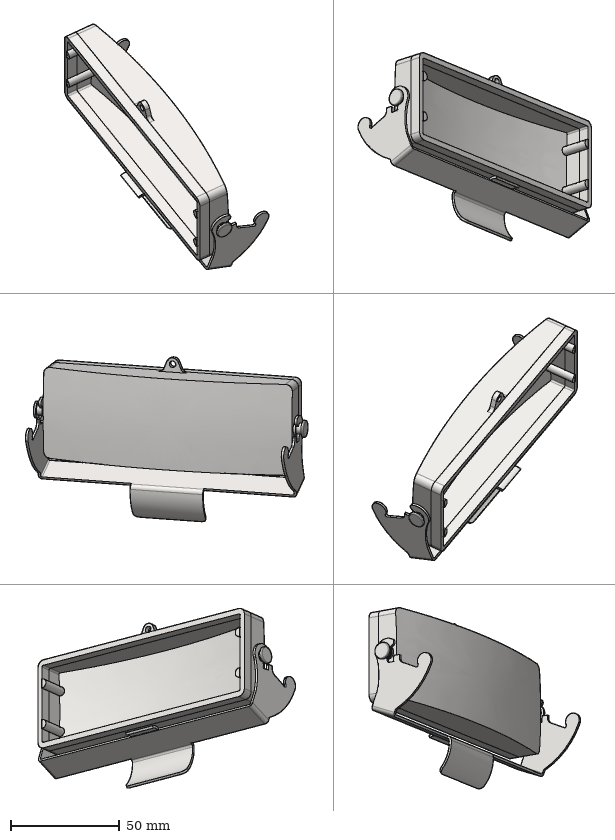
import cadquery as cq
import math


cover_width = 120.2
cover_height = 43.3
wall_x = 2.5
wall_z = 2.7
corner_radius = 3.3
inner_width = cover_width - 2 * wall_x
inner_height = cover_height - 2 * wall_z
inner_radius = corner_radius - wall_x
front_y = -10.5
frame_depth = 5.2
frame_back_y = front_y + frame_depth
dome_peak_y = 11.4
end_edge_y = 5.0
dome_rise = dome_peak_y - end_edge_y
dome_radius = ((cover_width / 2) ** 2 + dome_rise**2) / (2 * dome_rise)
dome_centre_y = dome_peak_y - dome_radius

post_radius = 2.2
post_inset = 0.3
post_spacing = 20.0
post_projection = 0.4

eye_hole_diameter = 3.0
eye_radius = 3.0
eye_centre_height = 3.8
eye_flank_angle = 22.5
eye_foot_radius = 2.6
eye_thickness = 2.5

pin_overall = 130.5
head_diameter = 8.0
head_thickness = 1.2
head_fillet = 0.4
shaft_diameter = 5.2
collar_diameter = 6.4

lever_width = 124.8
sheet = 1.2
bend_radius = 1.8
lever_tilt = 22.5
base_distance = 27.5
base_front = 3.0
base_rear = 16.3
handle_width = 35.1
handle_corner = 3.0
lip_width = 15.7
seat_radius = shaft_diameter / 2
seat_start_angle = 33
seat_end_angle = -75
slot_edge_y = 4.8
slot_floor_z = -5.5
nub_rear_y = 8.0
rear_neck = 2.3
handle_lead = 0.5


def rounded_block(width, height, radius, y_start, y_end):
    """Block along Y with its four long edges rounded."""
    block = cq.Workplane("XY").box(width, y_end - y_start, height)
    return block.edges("|Y").fillet(radius).translate((0, (y_start + y_end) / 2, 0))


def dome_ball(radius):
    """Ball with its poles on the Y axis, concentric with the domed back of the cover."""
    ball = cq.Workplane("XY").sphere(radius).rotate((0, 0, 0), (1, 0, 0), -90)
    return ball.translate((0, dome_centre_y, 0))


def seat_point(angle):
    """Point (Y, Z) on the round seat for the pin, at an angle in degrees from +Y."""
    a = math.radians(angle)
    return (seat_radius * math.cos(a), seat_radius * math.sin(a))


def lever_point(along, up):
    """Point (Y, Z) at a distance along the tilted base plate and above it, from the pin axis."""
    c = math.cos(math.radians(lever_tilt))
    s = math.sin(math.radians(lever_tilt))
    return (along * c + up * s, up * c - along * s)


def make_frame():
    outer = rounded_block(cover_width, cover_height, corner_radius, front_y, frame_back_y)
    opening = rounded_block(inner_width, inner_height, inner_radius, front_y, frame_back_y)
    return outer.cut(opening)


def make_posts():
    """Four posts from just in front of the frame to the dome, clipped flat by the end walls."""
    post_x = inner_width / 2 - post_inset
    places = [(sx * post_x, sz * post_spacing / 2) for sx in (-1, 1) for sz in (-1, 1)]
    post_front_y = front_y - post_projection
    posts = (
        cq.Workplane("XZ", origin=(0, post_front_y, 0))
        .pushPoints(places)
        .circle(post_radius)
        .extrude(post_front_y - dome_peak_y)
    )
    return posts.intersect(rounded_block(inner_width, inner_height, inner_radius, post_front_y, dome_peak_y))


def make_eye():
    """Rounded eye plate whose straight flanks flare into the top of the cover."""
    a = math.radians(eye_flank_angle)
    top = cover_height / 2
    centre_z = top + eye_centre_height
    upper_x = eye_radius * math.cos(a)
    upper_z = centre_z + eye_radius * math.sin(a)
    foot_z = top + eye_foot_radius * (1 - math.sin(a))
    lower_x = upper_x + (upper_z - foot_z) * math.tan(a)
    foot_centre_x = lower_x + eye_foot_radius * math.cos(a)
    half = math.radians(45 + eye_flank_angle / 2)
    mid_x = foot_centre_x - eye_foot_radius * math.cos(half)
    mid_z = top + eye_foot_radius * (1 - math.sin(half))
    sunk_z = top - wall_z / 2
    plate = (
        cq.Workplane("XZ", origin=(0, frame_back_y, 0))
        .moveTo(foot_centre_x, top)
        .threePointArc((mid_x, mid_z), (lower_x, foot_z))
        .lineTo(upper_x, upper_z)
        .threePointArc((0, centre_z + eye_radius), (-upper_x, upper_z))
        .lineTo(-lower_x, foot_z)
        .threePointArc((-mid_x, mid_z), (-foot_centre_x, top))
        .lineTo(-foot_centre_x, sunk_z)
        .lineTo(foot_centre_x, sunk_z)
        .close()
        .extrude(-eye_thickness)
    )
    hole = (
        cq.Workplane("XZ", origin=(0, frame_back_y, 0))
        .center(0, centre_z)
        .circle(eye_hole_diameter / 2)
        .extrude(-eye_thickness)
    )
    return plate.cut(hole)


def make_cover():
    outer = rounded_block(cover_width, cover_height, corner_radius, frame_back_y, dome_peak_y)
    outer = outer.intersect(dome_ball(dome_radius))
    cavity = rounded_block(inner_width, inner_height, inner_radius, frame_back_y, dome_peak_y)
    cavity = cavity.intersect(dome_ball(dome_radius - wall_x))
    posts = make_posts().intersect(dome_ball(dome_radius - wall_x / 2))
    return outer.cut(cavity).union(make_eye()).union(posts)


def make_pin(side):
    """Headed pin outside one end wall; side is -1 or 1 along X."""
    def round_length(diameter, start, end):
        return cq.Workplane("YZ", origin=(start, 0, 0)).circle(diameter / 2).extrude(end - start)

    lever_inside = lever_width / 2 - sheet
    head_inside = pin_overall / 2 - head_thickness
    head = round_length(head_diameter, head_inside, pin_overall / 2)
    head = head.faces(">X").edges().fillet(head_fillet)
    collar = round_length(collar_diameter, cover_width / 2, lever_inside)
    shaft = round_length(shaft_diameter, lever_inside, head_inside)
    pin = collar.union(shaft).union(head)
    return pin if side > 0 else pin.mirror("YZ")


def make_lever_outline():
    """Side outline of the lever, filled across its whole width."""
    seat_start = seat_point(seat_start_angle)
    seat_middle = seat_point((seat_start_angle + seat_end_angle) / 2 + 180)
    seat_end = seat_point(seat_end_angle)
    base_front_point = lever_point(base_front, -base_distance)
    base_rear_point = lever_point(base_rear, -base_distance)
    return (
        cq.Workplane("YZ", origin=(-lever_width / 2, 0, 0))
        .moveTo(*seat_start)
        .lineTo(4.2, 2.7)
        .threePointArc((slot_edge_y, 4.0), (3.8, 5.6))
        .threePointArc((-3.0, 4.8), (-5.2, -0.5))
        .threePointArc((-3.4, -9.1), (-4.5, -18.3))
        .lineTo(*base_front_point)
        .lineTo(*base_rear_point)
        .lineTo(*lever_point(base_rear, rear_neck - base_distance))
        .threePointArc((5.7, -28.7), (6.4, -28.2))
        .threePointArc((17.1, -20.9), (25.2, -9.1))
        .threePointArc((21.7, -3.8), (18.0, -8.5))
        .threePointArc((18.1, -9.8), (17.0, -9.9))
        .lineTo(10.2, -6.8)
        .threePointArc((8.5, -5.6), (nub_rear_y, -3.9))
        .lineTo(nub_rear_y, -2.6)
        .lineTo(5.5, -2.5)
        .threePointArc((5.1, -2.6), (slot_edge_y, -3.1))
        .lineTo(slot_edge_y, slot_floor_z)
        .lineTo(1.8, slot_floor_z)
        .lineTo(1.3, -4.8)
        .lineTo(*seat_end)
        .threePointArc(seat_middle, seat_start)
        .close()
        .extrude(lever_width)
    )


def make_channel():
    """Tilted U-shaped sheet: two sides joined to the base plate by rounded bends."""
    reach = 52.2
    height = 2 * base_distance

    def trough(inset, radius):
        body = cq.Workplane("XY").box(lever_width - 2 * inset, 2 * reach, height)
        return body.edges("|Y and <Z").fillet(radius).translate((0, 0, height / 2 - base_distance + inset))

    channel = trough(0, bend_radius).cut(trough(sheet, bend_radius - sheet))
    return channel.rotate((0, 0, 0), (1, 0, 0), -lever_tilt)


def make_strip(path, width):
    """Sheet strip of the given width swept along a path that leaves the base plate square to its edge."""
    start = path.val().startPoint()
    direction = path.val().tangentAt(0)
    section = cq.Plane(origin=start, xDir=(1, 0, 0), normal=direction)
    return cq.Workplane(section).rect(width, sheet).sweep(path)


def make_handle():
    """Thumb handle bent down from the rear edge of the base plate, with rounded lower corners."""
    middle = sheet / 2 - base_distance
    end = (-0.3, -47.2)
    path = (
        cq.Workplane("YZ")
        .moveTo(*lever_point(base_rear, middle))
        .lineTo(*lever_point(base_rear + handle_lead, middle))
        .tangentArcPoint((6.4, -33.0), relative=False)
        .tangentArcPoint(end, relative=False)
        .wire()
    )
    handle = make_strip(path, handle_width)
    for side in (-1, 1):
        corner = cq.selectors.NearestToPointSelector((side * handle_width / 2, *end))
        handle = handle.edges(corner).fillet(handle_corner)
    return handle


def make_lip():
    """Short lip curling down from the front edge of the base plate."""
    front_edge = lever_point(base_front, sheet / 2 - base_distance)
    path = (
        cq.Workplane("YZ")
        .moveTo(*front_edge)
        .threePointArc((-9.7, -25.6), (-11.7, -26.1))
        .wire()
    )
    return make_strip(path, lip_width)


def make_lever():
    channel = make_lever_outline().intersect(make_channel())
    return channel.union(make_handle()).union(make_lip())


cover = make_cover()
frame = make_frame()
lever = make_lever()
pins = [make_pin(side) for side in (-1, 1)]
bodies = [cover, frame, lever, *pins]
result = cq.Compound.makeCompound([body.val() for body in bodies])